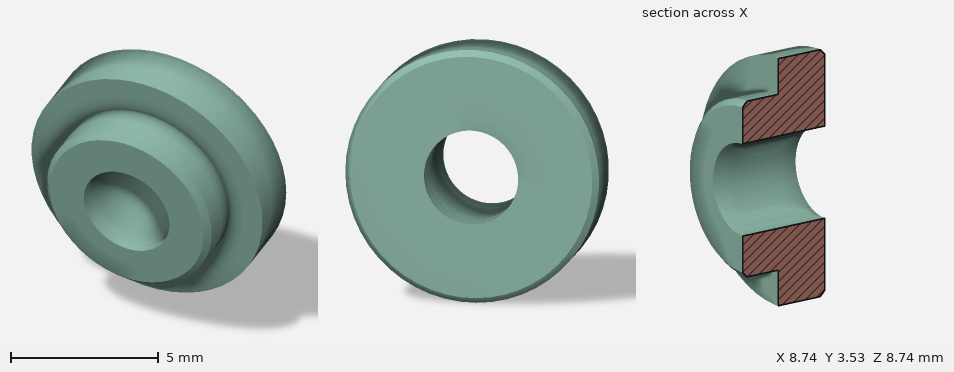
import cadquery as cq

flange_diameter = 8.74
boss_diameter = 6.22
bore_diameter = 3.24
total_length = 3.53
flange_thickness = 2.0
edge_chamfer = 0.2

boss_length = total_length - flange_thickness

flange = (
    cq.Workplane("XZ")
    .circle(flange_diameter / 2)
    .extrude(flange_thickness)
    .faces(">Y")
    .chamfer(edge_chamfer)
)

boss = (
    cq.Workplane("XZ", origin=(0, -flange_thickness, 0))
    .circle(boss_diameter / 2)
    .extrude(boss_length)
    .faces("<Y")
    .chamfer(edge_chamfer)
)

bore = cq.Workplane("XZ").circle(bore_diameter / 2).extrude(total_length)

result = flange.union(boss).cut(bore)